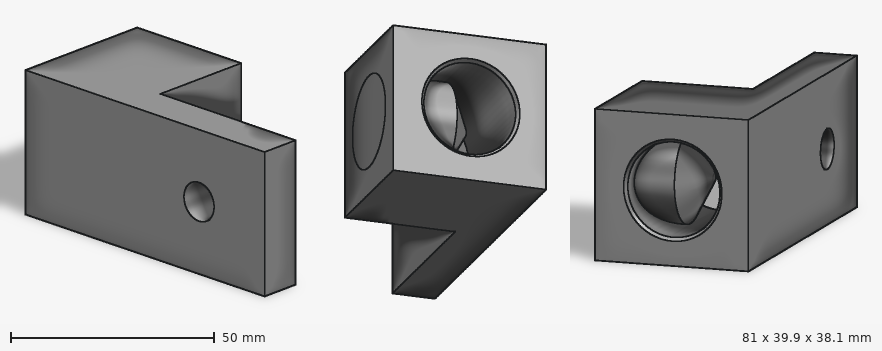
import cadquery as cq
import math

total_length = 81.0
block_width = 39.9
height = 38.1
block_length = 35.2
arm_thickness = 11.1
mid_height = height / 2

bore_radius = 12.0
bore_chamfer = 0.8
bore_y = 19.7

mount_hole_radius = 5.1
mount_hole_x = 58.8

plunger_radius = bore_radius
plunger_x = block_length / 2
nose_base_y = 21.2
nose_slope = math.radians(30)
nose_tip_radius = 2.4


def make_plunger():
    """Turned plunger, flush with the back face of the block."""
    apex_y = nose_base_y - plunger_radius * math.tan(nose_slope)
    tip_center_y = apex_y + nose_tip_radius / math.cos(nose_slope)

    def tip_point(angle):
        """Point on the spherical tip, at an angle from the plunger axis."""
        return (nose_tip_radius * math.sin(angle), tip_center_y - nose_tip_radius * math.cos(angle))

    return (
        cq.Workplane("XY")
        .moveTo(*tip_point(0))
        .threePointArc(tip_point(nose_slope / 2), tip_point(nose_slope))
        .lineTo(plunger_radius, nose_base_y)
        .lineTo(plunger_radius, block_width)
        .lineTo(0, block_width)
        .close()
        .revolve(360, (0, 0), (0, 1))
        .translate((plunger_x, 0, mid_height))
    )


def make_bore_cutter():
    """Bore ending at the block's end plane, with a conical mouth."""
    mouth_radius = bore_radius + bore_chamfer
    profile = [
        (0, 0),
        (0, mouth_radius),
        (bore_chamfer, bore_radius),
        (block_length, bore_radius),
        (block_length, 0),
    ]
    return (
        cq.Workplane("XY")
        .polyline(profile)
        .close()
        .revolve(360, (0, 0), (1, 0))
        .translate((0, bore_y, mid_height))
    )


def make_mount_hole_cutter():
    return (
        cq.Workplane("XZ", origin=(mount_hole_x, 0, mid_height))
        .circle(mount_hole_radius)
        .extrude(-arm_thickness)
    )


def make_housing(plunger):
    """L-shaped housing with its bore, mounting hole and plunger seat."""
    block = cq.Workplane("XY").box(block_length, block_width, height, centered=False)
    arm = cq.Workplane("XY").box(total_length, arm_thickness, height, centered=False)
    body = block.union(arm)
    return body.cut(make_bore_cutter()).cut(make_mount_hole_cutter()).cut(plunger)


plunger = make_plunger()
housing = make_housing(plunger)

result = cq.Compound.makeCompound([housing.val(), plunger.val()])